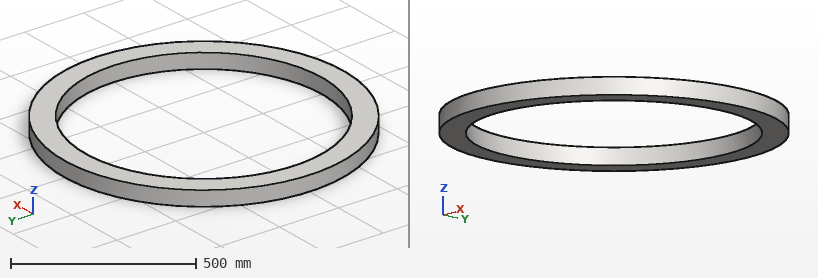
import cadquery as cq

outer_diameter = 945.0
bore_diameter = 800.0
thickness = 50.0

result = (
    cq.Workplane("XY")
    .circle(outer_diameter / 2)
    .circle(bore_diameter / 2)
    .extrude(thickness)
)